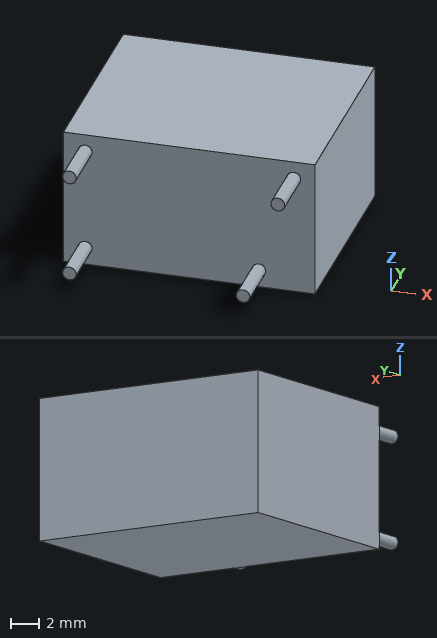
import cadquery as cq

width = 18.41
overall_depth = 19.65
height = 10.25

pin_length = 4.1
pin_diameter = 1.0
body_depth = overall_depth - pin_length

left_pin_x = 1.61
lower_right_pin_spacing = 12.7
upper_right_pin_spacing = 15.25
row_spacing = 7.62
lower_row_z = (height - row_spacing) / 2
upper_row_z = lower_row_z + row_spacing

pin_centers = [
    (left_pin_x, lower_row_z),
    (left_pin_x + lower_right_pin_spacing, lower_row_z),
    (left_pin_x, upper_row_z),
    (left_pin_x + upper_right_pin_spacing, upper_row_z),
]

body = cq.Workplane("XY").box(width, body_depth, height, centered=False)

pins = (
    cq.Workplane("XZ")
    .pushPoints(pin_centers)
    .circle(pin_diameter / 2)
    .extrude(pin_length)
)

result = body.union(pins)